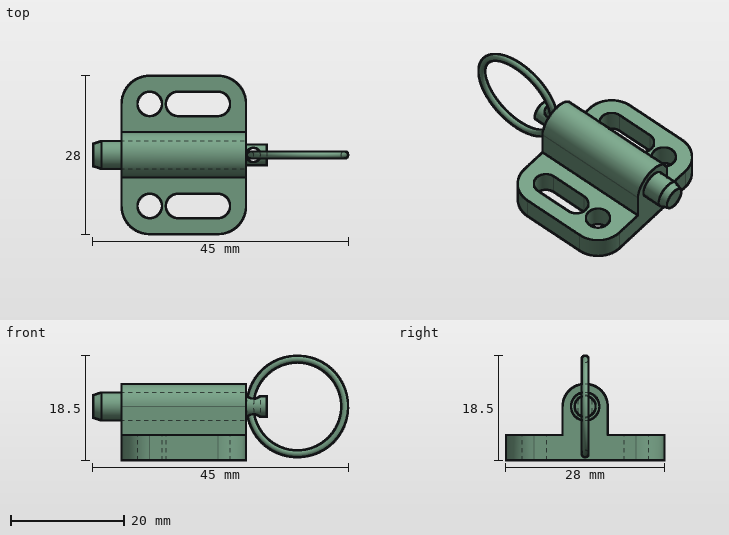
import cadquery as cq

TOTAL_LENGTH = 45.0
PIN_PROTRUSION = 5.0
AXIS_HEIGHT = 9.5

BASE_LENGTH = 22.0
BASE_WIDTH = 28.0
BASE_THICKNESS = 4.5
BASE_CORNER_RADIUS = 5.0
BARREL_RADIUS = 4.0

MOUNT_WIDTH = 4.28
MOUNT_OFFSET_Y = 9.0
HOLE_FROM_END = 5.0
SLOT_FROM_END = 13.5
SLOT_LENGTH = 11.3

PIN_DIAMETER = 5.0
TIP_DIAMETER = 4.0
TIP_LENGTH = 1.5
NECK_DIAMETER = 3.7
NECK_LENGTH = 3.65
RING_HOLE_DIAMETER = 2.48
RING_HOLE_FROM_HOUSING = 1.25

RING_OUTER_DIAMETER = 17.95
WIRE_DIAMETER = 1.25

HOUSING_START = PIN_PROTRUSION
HOUSING_END = HOUSING_START + BASE_LENGTH
HOUSING_CENTER = HOUSING_START + BASE_LENGTH / 2
RING_CENTER = TOTAL_LENGTH - RING_OUTER_DIAMETER / 2


def make_base():
    base = (
        cq.Workplane("XY")
        .center(HOUSING_CENTER, 0)
        .rect(BASE_LENGTH, BASE_WIDTH)
        .extrude(BASE_THICKNESS)
        .edges("|Z")
        .fillet(BASE_CORNER_RADIUS)
    )
    for y in (-MOUNT_OFFSET_Y, MOUNT_OFFSET_Y):
        hole = (
            cq.Workplane("XY")
            .center(HOUSING_START + HOLE_FROM_END, y)
            .circle(MOUNT_WIDTH / 2)
            .extrude(BASE_THICKNESS)
        )
        slot = (
            cq.Workplane("XY")
            .center(HOUSING_START + SLOT_FROM_END, y)
            .slot2D(SLOT_LENGTH, MOUNT_WIDTH)
            .extrude(BASE_THICKNESS)
        )
        base = base.cut(hole).cut(slot)
    return base


def make_barrel():
    """Straight-sided block with a half-round top, concentric with the pin."""
    return (
        cq.Workplane("YZ", origin=(HOUSING_START, 0, 0))
        .moveTo(-BARREL_RADIUS, 0)
        .lineTo(BARREL_RADIUS, 0)
        .lineTo(BARREL_RADIUS, AXIS_HEIGHT)
        .threePointArc((0, AXIS_HEIGHT + BARREL_RADIUS), (-BARREL_RADIUS, AXIS_HEIGHT))
        .close()
        .extrude(BASE_LENGTH)
    )


def make_housing():
    bore = (
        cq.Workplane("YZ", origin=(HOUSING_START, 0, AXIS_HEIGHT))
        .circle(PIN_DIAMETER / 2)
        .extrude(BASE_LENGTH)
    )
    return make_base().union(make_barrel()).cut(bore)


def make_pin():
    """Turned pin with a tapered tip and a cross-drilled neck for the ring."""
    neck_end = HOUSING_END + NECK_LENGTH
    pin = (
        cq.Workplane("XZ", origin=(0, 0, AXIS_HEIGHT))
        .polyline([
            (0, 0),
            (0, TIP_DIAMETER / 2),
            (TIP_LENGTH, PIN_DIAMETER / 2),
            (HOUSING_END, PIN_DIAMETER / 2),
            (HOUSING_END, NECK_DIAMETER / 2),
            (neck_end, NECK_DIAMETER / 2),
            (neck_end, 0),
        ])
        .close()
        .revolve(360, (0, 0), (1, 0))
    )
    ring_hole = (
        cq.Workplane("XY", origin=(HOUSING_END + RING_HOLE_FROM_HOUSING, 0, AXIS_HEIGHT))
        .circle(RING_HOLE_DIAMETER / 2)
        .extrude(NECK_DIAMETER, both=True)
    )
    return pin.cut(ring_hole)


def make_ring():
    """Round-wire ring standing in the XZ plane and threaded through the neck."""
    wire_center_radius = (RING_OUTER_DIAMETER - WIRE_DIAMETER) / 2
    return cq.Solid.makeTorus(
        wire_center_radius,
        WIRE_DIAMETER / 2,
        pnt=cq.Vector(RING_CENTER, 0, AXIS_HEIGHT),
        dir=cq.Vector(0, 1, 0),
    )


housing = make_housing().solids()
pin = make_pin().solids()
ring = make_ring()
result = cq.Compound.makeCompound([housing.val(), pin.val(), ring])